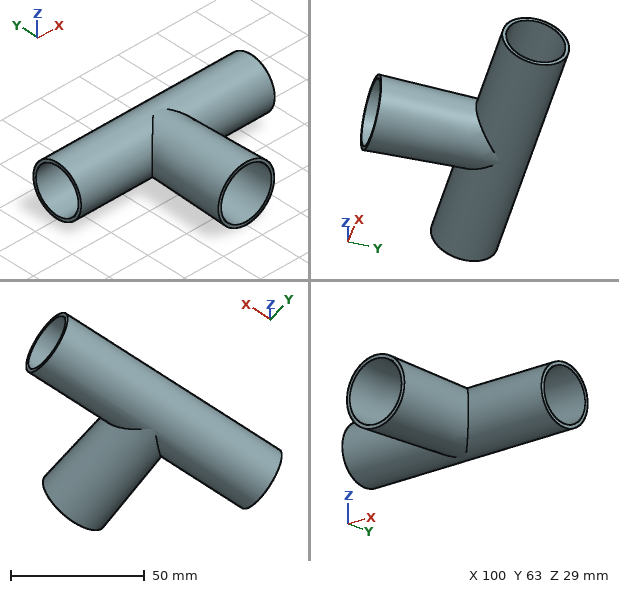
import cadquery as cq

run_length = 100.0
run_diameter = 26.0
wall = 1.5
branch_length = 50.0
branch_end_diameter = 29.0

run_radius = run_diameter / 2
branch_end_radius = branch_end_diameter / 2


def run_cylinder(radius):
    """Cylinder along X, centred on the origin."""
    return cq.Workplane("YZ").circle(radius).extrude(run_length / 2, both=True)


def branch_cone(root_radius, end_radius):
    """Cone along -Y that widens from the run axis to the open end."""
    return cq.Workplane("XY").add(
        cq.Solid.makeCone(
            root_radius, end_radius, branch_length,
            pnt=cq.Vector(0, 0, 0), dir=cq.Vector(0, -1, 0),
        )
    )


outside = run_cylinder(run_radius).union(branch_cone(run_radius, branch_end_radius))

run_bore = run_cylinder(run_radius - wall)
branch_bore = branch_cone(run_radius - wall, branch_end_radius - wall)

result = outside.cut(run_bore).cut(branch_bore)